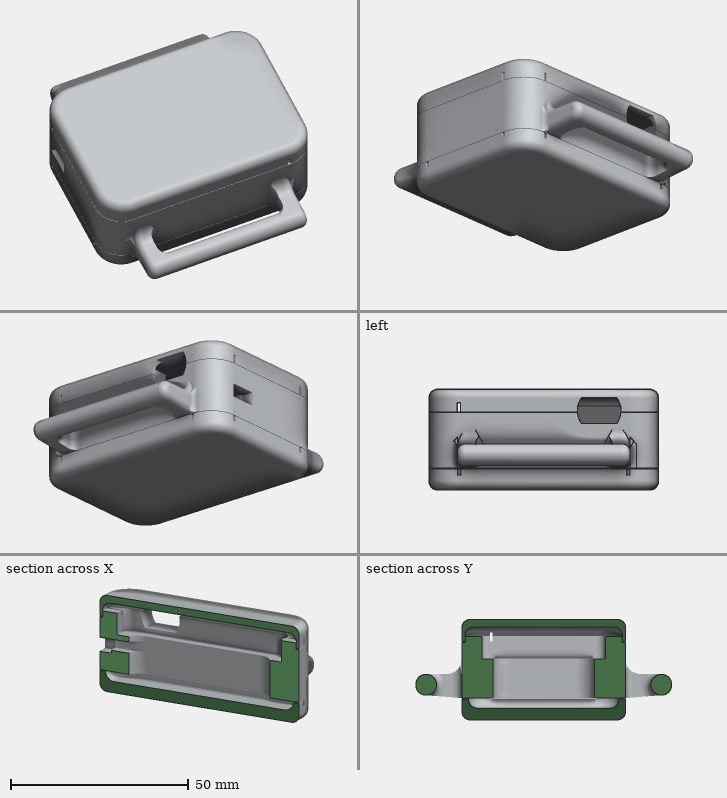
import cadquery as cq
import math

CASE_X = 46.35
CASE_Y = 64.7
CASE_Z = 28.5
CORNER_R = 8.0
RIM_R = 2.5
LOWER_SEAM_Z = 6.0
UPPER_SEAM_Z = 22.05
SEAM_GAP = 0.15
HOUSING_LOW_Z = LOWER_SEAM_Z + SEAM_GAP
HOUSING_TOP_Z = UPPER_SEAM_Z - SEAM_GAP
CORNER_X = CASE_X / 2 - CORNER_R
CORNER_Y = CASE_Y / 2 - CORNER_R

SKIRT = 1.0
COVER_WALL = 2.0
COVER_FILLET_R = 2.5
COVER_DEPTH = 2.6
TONGUE_H = 1.65
LID_DEPTH = TONGUE_H + COVER_FILLET_R
UPPER_WALL = 5.8
UPPER_CAVITY_R = 2.25
LOWER_WALL = 8.9
LOWER_CAVITY_R = 4.85
LEDGE_Z = 17.35

LID_SLOT_W = 0.8
LID_SLOT_H = 2.5
COVER_SLOT_W = 0.95
COVER_SLOT_H = 1.7

WINDOW_D = 12.3
WINDOW_H = 7.4
WINDOW_Y = -15.6
WINDOW_Z = 22.4

PORT_W = 8.4
PORT_H = 4.05
PORT_TOP_Z = 15.7
PORT_RECESS = 3.75
PORT_FRAME = 0.9

SPAN_X = 72.3
BAR_D = 6.0
BAR_Z = 10.0
ARM_W = 5.05
ARM_EDGE_R = 2.0
BAR_FILLET_R = 2.5
ROOT_OUTER_R = 1.8
ROOT_INNER_R = 2.3
ROOT_TOP_R = 4.0
BAR_X = (SPAN_X - BAR_D) / 2
BAR_TOP_Z = BAR_Z + BAR_D / 2
GAP_Y = CORNER_Y - ARM_W


def slab(inset, corner_r, z_low, z_high):
    """Rounded rectangular block whose sides lie `inset` inside the case walls."""
    return (
        cq.Workplane("XY", origin=(0, 0, z_low))
        .rect(CASE_X - 2 * inset, CASE_Y - 2 * inset)
        .extrude(z_high - z_low)
        .edges("|Z")
        .fillet(corner_r)
    )


def block(x_range, y_range, z_range):
    """Box between the given limits."""
    lows, highs = zip(x_range, y_range, z_range)
    sizes = [high - low for low, high in zip(lows, highs)]
    return cq.Workplane("XY").box(*sizes, centered=False).translate(lows)


def end_run(end, length):
    """Limits of a run of the given length that starts at `end` and goes toward the centre."""
    return sorted((end, end - math.copysign(length, end)))


def window_cutter():
    """Round bar along X with flats above and below, reaching through the -X wall."""
    bar = (
        cq.Workplane("YZ", origin=(-CASE_X / 2, WINDOW_Y, WINDOW_Z))
        .circle(WINDOW_D / 2)
        .extrude(LOWER_WALL)
    )
    band = block(
        (-CASE_X / 2, 0),
        (WINDOW_Y - WINDOW_D, WINDOW_Y + WINDOW_D),
        (WINDOW_Z - WINDOW_H / 2, WINDOW_Z + WINDOW_H / 2),
    )
    return bar.intersect(band)


def through_slots():
    """Slots at -X and +Y that run across the whole case just above the upper seam."""
    z_range = (UPPER_SEAM_Z, UPPER_SEAM_Z + LID_SLOT_H)
    along_y = block((-CORNER_X, -CORNER_X + LID_SLOT_W), (-CASE_Y, CASE_Y), z_range)
    along_x = block((-CASE_X, CASE_X), (CORNER_Y - LID_SLOT_W, CORNER_Y), z_range)
    return along_y.union(along_x)


def arm_profile(top_drop=0):
    """XZ outline of an arm of the +X handle, with a concave root above and a straight taper below.

    `top_drop` lowers the upper side.
    """
    bar_r = BAR_D / 2
    upper = BAR_TOP_Z - top_drop
    wall_x = CASE_X / 2
    run = BAR_X - wall_x
    rise = BAR_Z - HOUSING_LOW_Z
    tangent = math.pi + math.atan2(rise, run) + math.acos(bar_r / math.hypot(run, rise))
    tangent_point = (BAR_X + bar_r * math.cos(tangent), BAR_Z + bar_r * math.sin(tangent))
    root_mid = ROOT_TOP_R * (1 - math.sqrt(0.5))
    return (
        cq.Workplane("XZ", origin=(0, CORNER_Y, 0))
        .moveTo(CORNER_X, HOUSING_LOW_Z)
        .lineTo(CORNER_X, upper + ROOT_TOP_R)
        .lineTo(wall_x, upper + ROOT_TOP_R)
        .threePointArc((wall_x + root_mid, upper + root_mid), (wall_x + ROOT_TOP_R, upper))
        .lineTo(BAR_X, upper)
        .threePointArc((BAR_X + bar_r, BAR_Z), tangent_point)
        .lineTo(wall_x, HOUSING_LOW_Z)
        .close()
    )


def flared_bar():
    """Bar along Y at +X that flares with a concave fillet where it meets the arms."""
    bar_r = BAR_D / 2
    flare_r = bar_r + BAR_FILLET_R
    straight_y = GAP_Y - BAR_FILLET_R
    flare_mid = BAR_FILLET_R * math.sqrt(0.5)
    half = (
        cq.Workplane("XY", origin=(BAR_X, 0, BAR_Z))
        .moveTo(0, 0)
        .lineTo(bar_r, 0)
        .lineTo(bar_r, straight_y)
        .threePointArc((flare_r - flare_mid, straight_y + flare_mid), (flare_r, GAP_Y))
        .lineTo(0, GAP_Y)
        .close()
        .revolve(360, (0, 0, 0), (0, 1, 0))
    )
    return half.union(half.mirror("XZ"))


def root_flare(face_y, outward, radius, top):
    """Concave flare that joins one side face of a +X arm to the case wall, sloping down from `top`."""
    wall_x = CASE_X / 2
    tip_y = face_y + outward * radius
    past_tangent = max(0, tip_y - CORNER_Y)
    tip_x = CORNER_X + math.sqrt(CORNER_R**2 - past_tangent**2)
    bend = radius * (1 - math.sqrt(0.5))
    plan = (
        cq.Workplane("XY")
        .moveTo(CORNER_X, face_y)
        .lineTo(wall_x + radius, face_y)
        .threePointArc((tip_x + bend, face_y + outward * bend), (tip_x, tip_y))
        .lineTo(CORNER_X, tip_y)
        .close()
        .extrude(CASE_Z)
    )
    slope = (
        cq.Workplane("YZ")
        .polyline([(face_y, HOUSING_LOW_Z), (face_y, top), (tip_y, BAR_TOP_Z), (tip_y, HOUSING_LOW_Z)])
        .close()
        .extrude(SPAN_X)
    )
    return plan.intersect(slope)


def handle():
    """Strap handle at +X: a round bar on two tapering arms with flared roots."""
    profile = arm_profile().extrude(2 * CORNER_Y)
    outer_edges = cq.selectors.BoxSelector(
        (CASE_X / 2, -CASE_Y, 0), (SPAN_X, CASE_Y, CASE_Z)
    )
    plate = profile.faces("<Y or >Y").edges(outer_edges).fillet(ARM_EDGE_R)
    opening = block((CASE_X / 2, BAR_X), (-GAP_Y, GAP_Y), (0, CASE_Z))
    frame = plate.cut(opening.cut(flared_bar()))
    root_top = BAR_TOP_Z + ROOT_TOP_R
    flare_limit = arm_profile(top_drop=ARM_EDGE_R).extrude(2 * CASE_Y, both=True)
    for side in (-1, 1):
        outer = root_flare(side * CORNER_Y, side, ROOT_OUTER_R, root_top - ARM_EDGE_R)
        inner = root_flare(side * GAP_Y, -side, ROOT_INNER_R, root_top)
        frame = frame.union(outer.intersect(flare_limit)).union(inner.intersect(profile))
    return frame


def housing():
    """Middle ring with the handles, and a tongue that stands up inside the lid."""
    ring = slab(0, CORNER_R, HOUSING_LOW_Z, HOUSING_TOP_Z)
    right = handle()
    body = ring.union(right).union(right.mirror("YZ"))
    tongue_top = UPPER_SEAM_Z + TONGUE_H
    tongue = slab(SKIRT, CORNER_R - SKIRT, HOUSING_TOP_Z, tongue_top)
    body = body.union(tongue.cut(through_slots()))
    body = body.cut(slab(UPPER_WALL, UPPER_CAVITY_R, LEDGE_Z, tongue_top))
    body = body.cut(slab(LOWER_WALL, LOWER_CAVITY_R, HOUSING_LOW_Z, LEDGE_Z))
    return body.cut(window_cutter()).cut(port_cutter())


def port_cutter():
    """Wide recess from the -Y face, then a narrower opening past the cavity corner."""
    front = -CASE_Y / 2
    left = -CORNER_X
    low = PORT_TOP_Z - PORT_H
    recess = block((left, left + PORT_W), (front, front + PORT_RECESS), (low, PORT_TOP_Z))
    opening = block(
        (left + PORT_FRAME, left + PORT_W - PORT_FRAME),
        (front, front + LOWER_WALL + LOWER_CAVITY_R),
        (low + PORT_FRAME, PORT_TOP_Z),
    )
    return recess.union(opening)


def lid():
    """Top cover with a thin skirt around the tongue."""
    shell = slab(0, CORNER_R, UPPER_SEAM_Z, CASE_Z).faces(">Z").edges().fillet(RIM_R)
    cavity = slab(SKIRT, CORNER_R - SKIRT, UPPER_SEAM_Z, UPPER_SEAM_Z + LID_DEPTH)
    cavity = cavity.faces(">Z").edges().fillet(COVER_FILLET_R)
    front_slot = block(
        end_run(CORNER_X, LID_SLOT_W),
        end_run(-CASE_Y / 2, SKIRT),
        (UPPER_SEAM_Z, UPPER_SEAM_Z + LID_SLOT_H),
    )
    return shell.cut(cavity).cut(through_slots()).cut(front_slot).cut(window_cutter())


def bottom_cover():
    """Shallow tray with a slot at both ends of each straight wall."""
    tray = slab(0, CORNER_R, 0, LOWER_SEAM_Z).faces("<Z").edges().fillet(RIM_R)
    cavity = slab(COVER_WALL, CORNER_R - COVER_WALL, LOWER_SEAM_Z - COVER_DEPTH, LOWER_SEAM_Z)
    cavity = cavity.faces("<Z").edges().fillet(COVER_FILLET_R)
    tray = tray.cut(cavity)
    z_range = (LOWER_SEAM_Z - COVER_SLOT_H, LOWER_SEAM_Z)
    for side_x in (-1, 1):
        for side_y in (-1, 1):
            x_run = end_run(side_x * CORNER_X, COVER_SLOT_W)
            y_run = end_run(side_y * CORNER_Y, COVER_SLOT_W)
            x_wall = end_run(side_x * CASE_X / 2, COVER_WALL)
            y_wall = end_run(side_y * CASE_Y / 2, COVER_WALL)
            tray = tray.cut(block(x_run, y_wall, z_range))
            tray = tray.cut(block(x_wall, y_run, z_range))
    return tray


case_housing = housing()
top_lid = lid()
base = bottom_cover()
result = cq.Compound.makeCompound([case_housing.val(), top_lid.val(), base.val()])